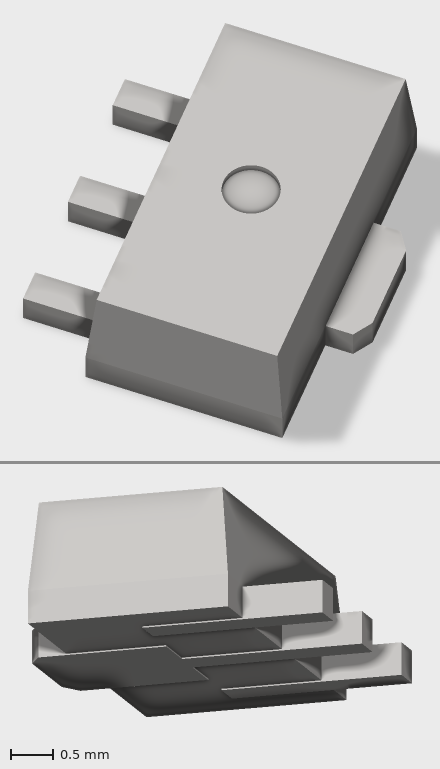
import cadquery as cq

housing_length = 4.5
housing_width = 2.498
standoff = 0.02
total_height = 1.52
base_top = 0.42
top_inset = 0.105

mark_diameter = 0.7
mark_depth = 0.1

lead_count = 3
lead_pitch = 1.5
lead_width = 0.405
metal_thickness = 0.4
lead_reach = 1.0

tab_width = 1.6
tab_reach = 0.505
tab_chamfer_x = 0.158
tab_chamfer_y = 0.24

half_width = housing_width / 2

meeting_x = 0.0


def make_housing():
    base = (
        cq.Workplane("XY", origin=(0, 0, standoff))
        .rect(housing_width, housing_length)
        .extrude(base_top - standoff)
    )
    upper = (
        cq.Workplane("XY", origin=(0, 0, base_top))
        .rect(housing_width, housing_length)
        .workplane(offset=total_height - base_top)
        .rect(housing_width - 2 * top_inset, housing_length - 2 * top_inset)
        .loft(ruled=True)
    )
    mark = (
        cq.Workplane("XY", origin=(0, 0, total_height - mark_depth))
        .circle(mark_diameter / 2)
        .extrude(mark_depth)
    )
    return base.union(upper).cut(mark)


def make_lead(y_center):
    outer_x = -half_width - lead_reach
    return (
        cq.Workplane("XY", origin=(outer_x, y_center, 0))
        .box(meeting_x - outer_x, lead_width, metal_thickness, centered=(False, True, False))
    )


def make_tab():
    outer_x = half_width + tab_reach
    half_tab = tab_width / 2
    return (
        cq.Workplane("XY")
        .moveTo(meeting_x, -half_tab)
        .lineTo(outer_x - tab_chamfer_x, -half_tab)
        .lineTo(outer_x, -half_tab + tab_chamfer_y)
        .lineTo(outer_x, half_tab - tab_chamfer_y)
        .lineTo(outer_x - tab_chamfer_x, half_tab)
        .lineTo(meeting_x, half_tab)
        .close()
        .extrude(metal_thickness)
    )


leads = [make_lead((i - (lead_count - 1) / 2) * lead_pitch) for i in range(lead_count)]
tab = make_tab()

housing = make_housing()
for metal_part in [*leads, tab]:
    housing = housing.cut(metal_part)

result = cq.Compound.makeCompound([housing.solids().val(), *[lead.val() for lead in leads], tab.val()])